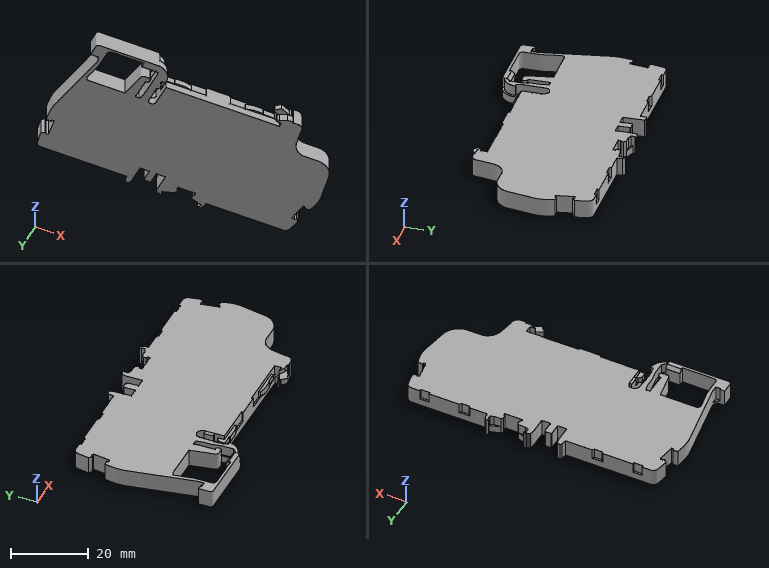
import cadquery as cq

thickness = 5.0
recess_floor = 2.15
catch_top = 3.8
outside = 45.85

top_y = 39.6
horn_y = 41.7
belly_y = 6.2
belly_recess_y = 6.65
bay_top_y = 12.6
bar_top_y = 0.85
leg_inner_x = -18.95
rim_end_x = -19.6
bar_inner_end_x = -19.7

toe_y = 3.9
toe_notch_y = 3.5
toe_notch_x = -36.2
flank_foot_x = -34.85
gusset_height = 0.9

slot_x = -15.9
slot_arc_y = 12.15
slot_radius = 1.0
rim_slot_radius = 1.5
slot_right_x = slot_x + slot_radius
rim_slot_right_x = slot_x + rim_slot_radius


def mirrored(points):
    """Reflect points about X = 0 and reverse their order."""
    return [(-x, y) for x, y in reversed(points)]


def prism(points, z_low, z_high):
    """Extrude a straight-sided outline between two heights."""
    return cq.Workplane("XY").workplane(offset=z_low).polyline(points).close().extrude(z_high - z_low)


notch_left = [
    (-37.6, 30.1), (-36.1, 30.1), (-36.1, 29.65), (-35.5, 29.65),
    (-34.8, 34.5), (-35.45, 34.7), (-35.9, 34.3), (-36.7, 35.0), (-36.7, 35.45), (-36.1, 38.1),
]
corner_end_x = 34.5
corner_mid = (35.7, 39.1)

prong_floor_y = 35.4
prongs = [
    (-10.0, top_y), (-9.8, 41.1), (-9.4, 41.5), (-8.6, 41.5), (-8.3, 41.1), (-8.2, 39.95),
    (-8.2, prong_floor_y), (-5.6, prong_floor_y), (-5.6, 38.6), (-5.35, 38.8), (-3.75, 38.8), (-3.5, 38.6),
    (-3.5, prong_floor_y), (-1.0, prong_floor_y), (-1.0, 40.1), (-0.8, 41.2), (-0.4, 41.5), (0.15, 41.5),
]
seat_x = 6.1
seat_side = [
    (-5.8, horn_y), (-5.05, horn_y), (-5.05, 41.4), (-5.5, 41.0), (-5.5, 40.6),
    (-2.5, top_y), (-2.1, 39.0), (-2.1, 38.35), (-2.5, 38.05), (-2.5, 37.4),
]
seat = [(seat_x + x, y) for x, y in seat_side + mirrored(seat_side)]
right_horn_foot = [(12.45, 41.1), (12.7, top_y)]


def make_body():
    """Full outline of the housing, including the clip bar and the spring leg."""
    outline = cq.Workplane("XY").moveTo(*notch_left[0])
    for point in notch_left[1:]:
        outline = outline.lineTo(*point)
    outline = outline.threePointArc((-corner_mid[0], corner_mid[1]), (-corner_end_x, top_y))
    for point in prongs + seat + right_horn_foot:
        outline = outline.lineTo(*point)
    outline = outline.lineTo(corner_end_x, top_y).threePointArc(corner_mid, mirrored(notch_left)[0])
    for point in mirrored(notch_left)[1:]:
        outline = outline.lineTo(*point)
    outline = (
        outline.threePointArc((38.35, 25.75), (37.9, 22.85))
        .lineTo(36.8, 17.0)
        .threePointArc((35.7, 14.9), (31.9, 13.15))
        .lineTo(27.65, 13.15)
        .threePointArc((25.2, 11.9), (24.1, 9.7))
        .lineTo(23.3, 5.7)
        .threePointArc((22.85, 4.2), (21.6, 3.5))
        .lineTo(20.0, 3.5)
    )
    for point in [
        (20.0, 3.3), (18.3, 3.3), (16.6, 4.3), (15.8, 4.3), (15.8, 4.8), (16.4, 4.8),
        (16.7, 5.1), (17.4, 5.1), (17.4, belly_y), (slot_right_x, belly_y),
    ]:
        outline = outline.lineTo(*point)
    outline = (
        outline.lineTo(slot_right_x, slot_arc_y)
        .threePointArc((slot_x, slot_arc_y + slot_radius), (slot_x - slot_radius, slot_arc_y))
        .lineTo(slot_x - slot_radius, 7.7)
        .threePointArc((-16.2, 6.8), (-16.9, 5.5))
        .lineTo(-16.7, 4.9)
        .lineTo(-15.75, 4.9)
        .lineTo(-15.75, 4.05)
        .threePointArc((-16.9, 1.5), (-20.0, 0))
    )
    return (
        outline.lineTo(-36.75, 0)
        .threePointArc((-37.35, 0.2), (-37.6, 0.85))
        .lineTo(-37.6, toe_y)
        .lineTo(toe_notch_x, toe_y)
        .lineTo(toe_notch_x, toe_notch_y)
        .lineTo(flank_foot_x, toe_notch_y)
        .lineTo(flank_foot_x, 5.4)
        .lineTo(-38.05, 24.7)
        .lineTo(-38.05, 26.75)
        .close()
        .extrude(thickness)
    )


def make_window():
    """Clip window, with the stop finger hanging into it."""
    return (
        cq.Workplane("XY").moveTo(-33.9, bay_top_y)
        .lineTo(-23.5, bay_top_y)
        .lineTo(-22.4, 5.9)
        .threePointArc((-22.1, 5.3), (-21.5, 5.05))
        .lineTo(-20.1, 5.05)
        .threePointArc((-19.6, 5.8), (-20.1, 6.65))
        .lineTo(-20.55, 6.65)
        .lineTo(-20.55, bay_top_y)
        .lineTo(-19.55, bay_top_y)
        .threePointArc((-19.25, 12.4), (-19.2, 12.0))
        .lineTo(leg_inner_x, 10.8)
        .lineTo(leg_inner_x, 2.6)
        .lineTo(bar_inner_end_x, 2.1)
        .lineTo(bar_inner_end_x, bar_top_y)
        .lineTo(-33.0, bar_top_y)
        .threePointArc((-33.6, 1.15), (-33.85, 1.8))
        .lineTo(-33.85, 6.6)
        .lineTo(-34.8, 11.7)
        .threePointArc((-34.5, 12.3), (-33.9, bay_top_y))
        .close()
        .extrude(thickness)
    )


def make_spring_rim():
    """Band cut around the spring slot and down the outside of the spring leg."""
    return (
        cq.Workplane("XY").workplane(offset=recess_floor)
        .moveTo(-3.5, belly_y)
        .lineTo(-3.1, belly_recess_y)
        .lineTo(rim_slot_right_x, belly_recess_y)
        .lineTo(rim_slot_right_x, slot_arc_y)
        .threePointArc((slot_x, slot_arc_y + rim_slot_radius), (slot_x - rim_slot_radius, slot_arc_y))
        .lineTo(-17.6, 6.1)
        .lineTo(-17.1, 4.4)
        .lineTo(-16.35, 4.4)
        .threePointArc((-17.3, 2.1), (rim_end_x, 0.6))
        .lineTo(rim_end_x, -outside)
        .lineTo(-3.5, -outside)
        .close()
        .extrude(thickness)
    )


def make_foot_rim():
    """Band cut along the right part of the lower edge and around the fixed foot."""
    rim = [
        (3.5, belly_y), (3.1, belly_recess_y), (18.2, belly_recess_y), (18.2, 4.7), (16.6, 4.7),
        (18.3, 3.8), (19.8, 3.8), (19.8, -outside), (3.5, -outside),
    ]
    return prism(rim, recess_floor, thickness)


def make_leg_rim():
    """Narrow band cut along the window side of the spring leg."""
    rim = [
        (leg_inner_x, 8.3), (-18.5, 5.7), (-18.5, 2.3),
        (bar_inner_end_x, 1.1), (bar_inner_end_x, 2.1), (leg_inner_x, 2.6),
    ]
    return prism(rim, recess_floor, thickness)


def make_seat_rims():
    """Ramps of the marker seat, stepped back above the recess floor."""
    ramp = [(-5.5, 40.6), (-5.5, 40.0), (-4.6, 39.65), (-2.5, top_y)]
    left = [(seat_x + x, y) for x, y in ramp]
    right = [(seat_x + x, y) for x, y in mirrored(ramp)]
    return prism(left, recess_floor, thickness).union(prism(right, recess_floor, thickness))


def make_edge_nicks():
    """Shallow nicks in the long upper edge, two on each side."""
    nick_y = 39.05
    square_nick = [(-32.1, top_y), (-32.1, nick_y), (-29.5, nick_y), (-29.5, top_y)]
    flared_nick = [(-20.8, top_y), (-20.25, nick_y), (-18.1, nick_y), (-17.6, top_y)]
    nicks = cq.Workplane("XY")
    for nick in (square_nick, flared_nick):
        nicks = nicks.union(prism(nick, recess_floor, thickness))
        nicks = nicks.union(prism(mirrored(nick), recess_floor, thickness))
    return nicks


def make_catches():
    """Catches standing on the recess floor: one at each end of the lower edge, one on the foot."""
    spring_side = [
        (rim_slot_right_x, 8.4), (slot_right_x, 8.4), (-15.75, 7.6), (-15.75, 6.4), (-15.9, 6.2),
        (-15.7, 5.95), (-12.6, 5.95), (-12.6, 5.7), (-9.7, 5.7), (-7.65, belly_y),
        (-7.65, belly_recess_y), (rim_slot_right_x, belly_recess_y),
    ]
    foot_side = [
        (7.8, belly_recess_y), (7.8, belly_y), (9.85, 5.7), (12.7, 5.7), (12.7, 5.95),
        (15.9, 6.0), (15.9, belly_recess_y),
    ]
    foot_nose = [(16.6, 4.7), (14.75, 3.75), (14.75, 3.35), (16.05, 2.1), (18.95, 3.3), (18.95, 3.8), (18.3, 3.8)]
    catches = cq.Workplane("XY")
    for catch in (spring_side, foot_side, foot_nose):
        catches = catches.union(prism(catch, recess_floor, catch_top))
    return catches


def make_bar_ledge():
    """Ledge on the inner face of the bar, sloping down towards the window."""
    ledge_left_x = -23.8
    crest_y = 1.4
    ledge_y = 2.2
    slope_drop = 0.9
    profile = [
        (bar_top_y, 0), (ledge_y, 0), (ledge_y, thickness - slope_drop),
        (crest_y, thickness), (bar_top_y, thickness),
    ]
    return (
        cq.Workplane("YZ").workplane(offset=ledge_left_x)
        .polyline(profile).close().extrude(bar_inner_end_x - ledge_left_x)
    )


def make_slot_bevel():
    """Bevel bridging the rim step on the body side of the spring slot."""
    bevel_foot_z = 4.4
    bevel_low_y = 9.5
    profile = [
        (slot_right_x, recess_floor), (slot_right_x, bevel_foot_z),
        (rim_slot_right_x, thickness), (rim_slot_right_x, recess_floor),
    ]
    return (
        cq.Workplane("XZ").workplane(offset=-slot_arc_y)
        .polyline(profile).close().extrude(slot_arc_y - bevel_low_y)
    )


def make_toe_gusset():
    """Low corner gusset between the toe and the flank."""
    gusset = [
        (toe_notch_x, toe_notch_y), (toe_notch_x, toe_y), (-35.6, 4.0), (-35.1, 4.4),
        (flank_foot_x, 5.2), (flank_foot_x, toe_notch_y),
    ]
    return prism(gusset, 0, gusset_height)


result = make_body().cut(make_window())
for rim in (make_spring_rim(), make_foot_rim(), make_leg_rim(), make_seat_rims(), make_edge_nicks()):
    result = result.cut(rim)
for addition in (make_catches(), make_bar_ledge(), make_slot_bevel(), make_toe_gusset()):
    result = result.union(addition)